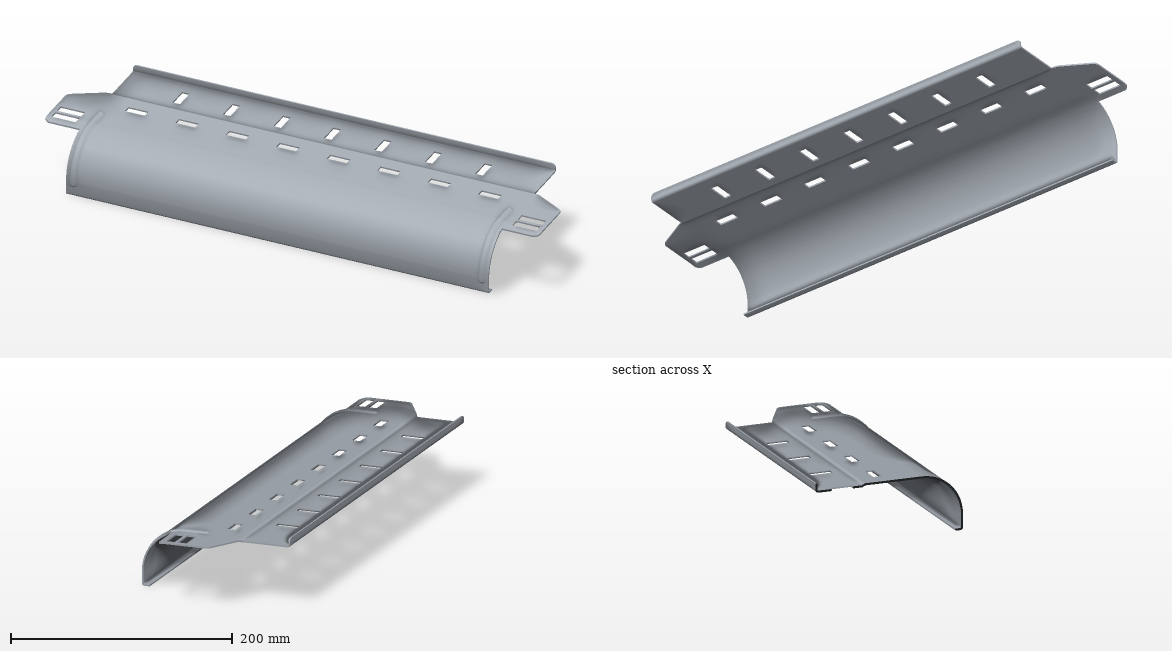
import cadquery as cq
import math

overall_length = 492
overall_depth = 144.5
bead_height = 1.0
overall_height = 60.0
sheet = 1.5
sheet_depth = overall_depth - bead_height
body_length = 420.0

plate_top = 54.5
cover_radius = 40.0
curve_z = plate_top - cover_radius
lip_depth = 7.5
bend_radius = 2.5
joggle_drop = 1.5
joggle_run = 3.0
joggle_front = 95.5
step_rear = joggle_front + joggle_run
joggle_crest_radius = 4.0

ear_front = 29.0
ear_shoulder = 78.0
ear_rear = step_rear
ear_corner_radius = 6.0

slot_pitch = 50.0
rear_slot_size = (7.5, 20.5)
rear_slot_y = 117.5
rear_slot_count = 7
plate_slot_size = (19.5, 8.0)
plate_slot_y = 76.8
plate_slot_count = 8
ear_slot_size = (24.0, 8.5)
ear_slot_x = 229.5
ear_slot_ys = (40.5, 51.5)

bead_x = 203.0
bead_base_width = 7.5
bead_crown_width = 4.0
bead_rear = 63.0
bead_bottom = 9.5

flange_corner_radius = 4.0


def bent_section():
    """Constant-thickness profile in the YZ plane, front skirt at Y = 0."""
    inner_radius = bend_radius - sheet
    rear_top = plate_top - joggle_drop
    rear_bottom = rear_top - sheet
    diagonal = math.sqrt(0.5)

    def on_arc(centre_y, centre_z, radius, y_sign, z_sign):
        return (centre_y + y_sign * radius * diagonal, centre_z + z_sign * radius * diagonal)

    flange_bend = (sheet_depth - bend_radius, rear_bottom + bend_radius)
    return (
        cq.Workplane("YZ")
        .moveTo(lip_depth, 0)
        .lineTo(bend_radius, 0)
        .threePointArc(on_arc(bend_radius, bend_radius, bend_radius, -1, -1), (0, bend_radius))
        .lineTo(0, curve_z)
        .threePointArc(on_arc(cover_radius, curve_z, cover_radius, -1, 1), (cover_radius, plate_top))
        .lineTo(joggle_front, plate_top)
        .lineTo(step_rear, rear_top)
        .lineTo(flange_bend[0], rear_top)
        .threePointArc(on_arc(*flange_bend, inner_radius, 1, -1), (sheet_depth - sheet, flange_bend[1]))
        .lineTo(sheet_depth - sheet, overall_height)
        .lineTo(sheet_depth, overall_height)
        .lineTo(sheet_depth, flange_bend[1])
        .threePointArc(on_arc(*flange_bend, bend_radius, 1, -1), (flange_bend[0], rear_bottom))
        .lineTo(step_rear, rear_bottom)
        .lineTo(joggle_front, plate_top - sheet)
        .lineTo(cover_radius, plate_top - sheet)
        .threePointArc(on_arc(cover_radius, curve_z, cover_radius - sheet, -1, 1), (sheet, curve_z))
        .lineTo(sheet, bend_radius)
        .threePointArc(on_arc(bend_radius, bend_radius, inner_radius, -1, -1), (bend_radius, sheet))
        .lineTo(lip_depth, sheet)
        .close()
    )


def trimming_block():
    """Block with the plan shape of the sheet: body, two round-cornered ears, rounded top corners."""
    half_body = body_length / 2
    half_length = overall_length / 2
    body = cq.Workplane("XY").rect(body_length, sheet_depth).extrude(overall_height)
    body = body.translate((0, sheet_depth / 2, 0))
    body = body.edges("|Y and >Z").fillet(flange_corner_radius)
    ears = (
        cq.Workplane("XY")
        .polyline(
            [
                (-half_length, ear_front),
                (half_length, ear_front),
                (half_length, ear_shoulder),
                (half_body, ear_rear),
                (-half_body, ear_rear),
                (-half_length, ear_shoulder),
            ]
        )
        .close()
        .extrude(overall_height)
    )
    ears = ears.edges("|Z").edges("<X or >X").fillet(ear_corner_radius)
    return body.union(ears)


def row(count, pitch):
    """X positions of an evenly spaced row centred on the part."""
    return [(i - (count - 1) / 2) * pitch for i in range(count)]


def slots(size, centres):
    """Rectangular cutters reaching through the whole height of the plate."""
    return cq.Workplane("XY").pushPoints(centres).rect(*size).extrude(overall_height)


def bead(x):
    """Trapezoidal rib following the plate, curve and skirt, with coned round ends."""
    half_base = bead_base_width / 2
    half_crown = bead_crown_width / 2
    root = sheet / 2
    rear = bead_rear - half_base
    bottom = bead_bottom + half_base
    diagonal = cover_radius * math.sqrt(0.5)

    path = (
        cq.Workplane("YZ", origin=(x, 0, 0))
        .moveTo(rear, plate_top)
        .lineTo(cover_radius, plate_top)
        .threePointArc((cover_radius - diagonal, curve_z + diagonal), (0, curve_z))
        .lineTo(0, bottom)
    )
    section = [
        (-half_base, -root),
        (half_base, -root),
        (half_base, 0),
        (half_crown, bead_height),
        (-half_crown, bead_height),
        (-half_base, 0),
    ]
    rib = cq.Workplane("XZ", origin=(x, rear, plate_top)).polyline(section).close().sweep(path)

    half_section = [(0, -root)] + section[1:4] + [(0, bead_height)]
    end = cq.Workplane("XZ").polyline(half_section).close().revolve(360, (0, 0), (0, 1))
    rear_end = end.translate((x, rear, plate_top))
    bottom_end = end.rotate((0, 0, 0), (1, 0, 0), 90).translate((x, 0, bottom))
    return rib.union(rear_end).union(bottom_end)


bent_sheet = bent_section().extrude(overall_length / 2, both=True)
crest = cq.selectors.NearestToPointSelector((0, joggle_front, plate_top))
bent_sheet = bent_sheet.edges("|X").edges(crest).fillet(joggle_crest_radius)
result = bent_sheet.intersect(trimming_block())

result = result.cut(slots(rear_slot_size, [(x, rear_slot_y) for x in row(rear_slot_count, slot_pitch)]))
result = result.cut(slots(plate_slot_size, [(x, plate_slot_y) for x in row(plate_slot_count, slot_pitch)]))
for side in (-1, 1):
    result = result.cut(slots(ear_slot_size, [(side * ear_slot_x, y) for y in ear_slot_ys]))

for side in (-1, 1):
    result = result.union(bead(side * bead_x))